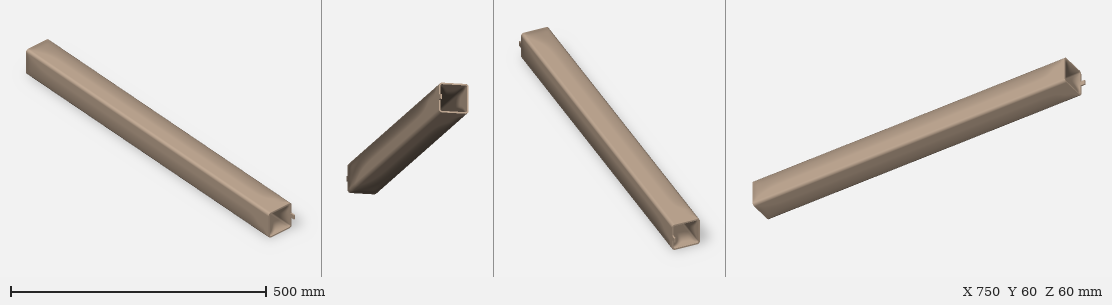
import cadquery as cq

overall_length = 750.0
tube_size = 60.0
wall = 3.2
tab_length = 10.0
tab_height = 10.0

tube_length = overall_length - 2 * tab_length
bore_size = tube_size - 2 * wall
outer_radius = 2 * wall
inner_radius = outer_radius - wall


def rounded_bar(size, corner_radius):
    """Square bar along X, centred on the origin, with rounded long edges."""
    return cq.Workplane("XY").box(tube_length, size, size).edges("|X").fillet(corner_radius)


def square_tube():
    """Square hollow section, open at both ends."""
    return rounded_bar(tube_size, outer_radius).cut(rounded_bar(bore_size, inner_radius))


def end_tab(side):
    """Tongue that extends the +Y wall beyond one end; side is -1 or +1."""
    center_x = side * (tube_length + tab_length) / 2
    center_y = (tube_size - wall) / 2
    return cq.Workplane("XY").box(tab_length, wall, tab_height).translate((center_x, center_y, 0))


result = square_tube()
for side in (-1, 1):
    result = result.union(end_tab(side))